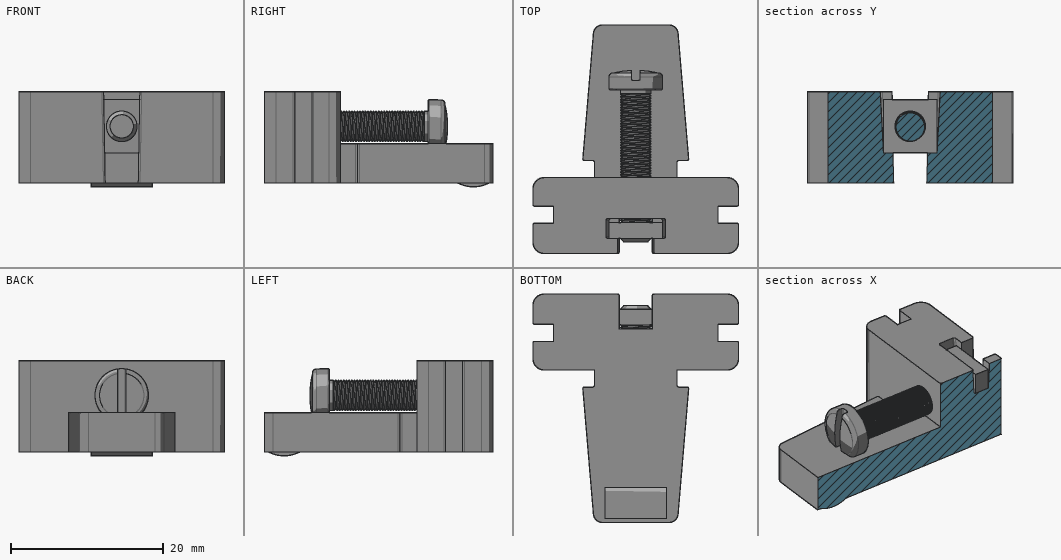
import cadquery as cq
import math

TOTAL_LENGTH = 30.0
EDGE_ROUND = 0.25

BLOCK_WIDTH = 27.0
BLOCK_DEPTH = 10.0
BLOCK_HEIGHT = 12.0
BLOCK_CORNER_RADIUS = 1.5
GROOVE_DEPTH = 2.7
GROOVE_START_Y = 4.0
GROOVE_END_Y = 6.2

TONGUE_HEIGHT = 5.15
NECK_WIDTH = 10.85
SHOULDER_Y = 12.2
SHOULDER_WIDTH = 13.95
TONGUE_END_WIDTH = 10.95
TONGUE_END_RADIUS = 1.2

RIB_LENGTH = 8.0
RIB_DROP = 0.5
RIB_CHORD = 4.1
RIB_CENTER_Y = 27.42

NUT_SIZE = 7.0
NUT_THICKNESS = 2.05
NUT_FRONT_Y = 2.0
POCKET_BACK_Y = 4.6
POCKET_TOP_WIDTH = 7.83
SLOT_TOP_WIDTH = 4.75
SLOT_BOTTOM_WIDTH = 4.32

SCREW_AXIS_Z = 7.45
SCREW_RADIUS = 2.0
SCREW_TIP_Y = 1.5
SCREW_TIP_CHAMFER = 0.48
THREAD_TURNS = 54
THREAD_DEPTH = 0.2
PLAIN_SHANK_LENGTH = 0.48
HEAD_RADIUS = 3.5
HEAD_BASE_Y = 21.48
HEAD_BASE_ROUND = 0.18
HEAD_SIDE_END_Y = 23.2
HEAD_DOME_EDGE_Y = 23.7
HEAD_DOME_EDGE_RADIUS = 2.9
HEAD_TOP_Y = 24.05
DRIVE_SLOT_WIDTH = 1.15
DRIVE_SLOT_DEPTH = 1.32
DRIVE_SLOT_ROUND = 0.15

POCKET_FLOOR_Z = SCREW_AXIS_Z - NUT_SIZE / 2
NUT_BACK_Y = NUT_FRONT_Y + NUT_THICKNESS
THREAD_START_Y = SCREW_TIP_Y + SCREW_TIP_CHAMFER
THREAD_END_Y = HEAD_BASE_Y - PLAIN_SHANK_LENGTH
THREAD_PITCH = (THREAD_END_Y - THREAD_START_Y) / THREAD_TURNS


def box_between(width, y_start, y_end, z_start, z_end, center_x=0):
    """Box centred on center_x that spans the given Y and Z ranges."""
    return (
        cq.Workplane("XY")
        .box(width, y_end - y_start, z_end - z_start, centered=(True, False, False))
        .translate((center_x, y_start, z_start))
    )


def tapered_prism(bottom_width, top_width, y_start, y_end, z_start, z_end):
    """Prism along Y whose width grows linearly from z_start to z_end."""
    return (
        cq.Workplane("XZ", origin=(0, y_start, 0))
        .polyline([
            (-bottom_width / 2, z_start),
            (bottom_width / 2, z_start),
            (top_width / 2, z_end),
            (-top_width / 2, z_end),
        ])
        .close()
        .extrude(y_start - y_end)
    )


def make_block():
    """Rounded block with a vertical groove in each side and a front slot leading to the nut pocket."""
    block = box_between(BLOCK_WIDTH, 0, BLOCK_DEPTH, 0, BLOCK_HEIGHT)
    block = block.edges("|Z").fillet(BLOCK_CORNER_RADIUS)
    for side in (-1, 1):
        groove = box_between(
            2 * GROOVE_DEPTH, GROOVE_START_Y, GROOVE_END_Y, 0, BLOCK_HEIGHT, side * BLOCK_WIDTH / 2
        )
        block = block.cut(groove)
        mouth = cq.selectors.BoxSelector(
            (side * (BLOCK_WIDTH / 2 - 0.3), GROOVE_START_Y - 0.3, -0.3),
            (side * (BLOCK_WIDTH / 2 + 0.3), GROOVE_END_Y + 0.3, BLOCK_HEIGHT + 0.3),
        )
        block = block.edges("|Z").edges(mouth).fillet(EDGE_ROUND)

    slot = tapered_prism(SLOT_BOTTOM_WIDTH, SLOT_TOP_WIDTH, 0, POCKET_BACK_Y, 0, BLOCK_HEIGHT)
    block = block.cut(slot)
    slot_mouth = cq.selectors.BoxSelector(
        (-SLOT_TOP_WIDTH, -0.3, 0.3), (SLOT_TOP_WIDTH, 0.3, BLOCK_HEIGHT - 0.3)
    )
    block = block.edges(slot_mouth).fillet(EDGE_ROUND)

    pocket = tapered_prism(
        NUT_SIZE, POCKET_TOP_WIDTH, NUT_FRONT_Y, POCKET_BACK_Y, POCKET_FLOOR_Z, BLOCK_HEIGHT
    )
    pocket = pocket.edges("not(|X or |Y)").fillet(EDGE_ROUND)
    return block.cut(pocket)


def make_tongue():
    """Plate with a narrow neck, square shoulders and a tapered, rounded end."""
    outline = [(NECK_WIDTH / 2, BLOCK_DEPTH), (NECK_WIDTH / 2, SHOULDER_Y)]
    outline += [(SHOULDER_WIDTH / 2, SHOULDER_Y), (TONGUE_END_WIDTH / 2, TOTAL_LENGTH)]
    mirrored = [(-x, y) for x, y in reversed(outline)]
    tongue = cq.Workplane("XY").polyline(outline + mirrored).close().extrude(TONGUE_HEIGHT)
    tongue = tongue.edges("|Z and >Y").fillet(TONGUE_END_RADIUS)
    shoulders = cq.selectors.BoxSelector(
        (-SHOULDER_WIDTH, SHOULDER_Y - 0.3, -0.3), (SHOULDER_WIDTH, SHOULDER_Y + 0.3, TONGUE_HEIGHT + 0.3)
    )
    return tongue.edges("|Z").edges(shoulders).fillet(EDGE_ROUND)


def make_rib():
    """Shallow cylindrical rib across the underside of the tongue."""
    return (
        cq.Workplane("YZ", origin=(-RIB_LENGTH / 2, 0, 0))
        .moveTo(RIB_CENTER_Y - RIB_CHORD / 2, 0)
        .threePointArc((RIB_CENTER_Y, -RIB_DROP), (RIB_CENTER_Y + RIB_CHORD / 2, 0))
        .close()
        .extrude(RIB_LENGTH)
    )


def make_nut():
    """Square nut resting on the pocket floor, against the pocket's front wall."""
    return box_between(
        NUT_SIZE, NUT_FRONT_Y, NUT_BACK_Y, POCKET_FLOOR_Z, POCKET_FLOOR_Z + NUT_SIZE
    )


def make_thread(y_start, y_end):
    """Threaded rod along Y: a cross-section that grows from root to crest and back, twisted along the axis."""

    def section_point(turn):
        crest_share = 1 - abs(2 * turn - 1)
        radius = SCREW_RADIUS - THREAD_DEPTH * (1 - crest_share)
        angle = 2 * math.pi * turn
        return (radius * math.cos(angle), radius * math.sin(angle))

    half_steps = 12
    half_turn = [0.5 * step / half_steps for step in range(1, half_steps + 1)]
    section = (
        cq.Workplane("XY")
        .moveTo(*section_point(0))
        .spline([section_point(turn) for turn in half_turn], includeCurrent=True)
        .spline([section_point(turn + 0.5) for turn in half_turn], includeCurrent=True)
        .close()
    )
    length = y_end - y_start
    rod = section.twistExtrude(length, 360 * length / THREAD_PITCH)
    return rod.rotate((0, 0, 0), (1, 0, 0), -90).translate((0, y_start, 0))


def make_screw():
    """Exposed stretches of the slotted screw; inside the nut and the block it is one with their material."""
    tip = (
        cq.Workplane("XY")
        .moveTo(0, SCREW_TIP_Y)
        .lineTo(SCREW_RADIUS - SCREW_TIP_CHAMFER, SCREW_TIP_Y)
        .lineTo(SCREW_RADIUS, THREAD_START_Y)
        .lineTo(SCREW_RADIUS, NUT_FRONT_Y)
        .lineTo(0, NUT_FRONT_Y)
        .close()
        .revolve(360, (0, 0, 0), (0, 1, 0))
    )
    plain_shank = (
        cq.Workplane("XZ", origin=(0, THREAD_END_Y, 0)).circle(SCREW_RADIUS).extrude(-PLAIN_SHANK_LENGTH)
    )

    dome_rise = HEAD_TOP_Y - HEAD_DOME_EDGE_Y
    dome_radius = (HEAD_DOME_EDGE_RADIUS**2 + dome_rise**2) / (2 * dome_rise)
    half_radius = HEAD_DOME_EDGE_RADIUS / 2
    dome_mid_y = HEAD_TOP_Y - dome_radius + math.sqrt(dome_radius**2 - half_radius**2)
    head = (
        cq.Workplane("XY")
        .moveTo(0, HEAD_BASE_Y)
        .lineTo(HEAD_RADIUS, HEAD_BASE_Y)
        .lineTo(HEAD_RADIUS, HEAD_SIDE_END_Y)
        .tangentArcPoint((HEAD_DOME_EDGE_RADIUS, HEAD_DOME_EDGE_Y), relative=False)
        .threePointArc((half_radius, dome_mid_y), (0, HEAD_TOP_Y))
        .close()
        .revolve(360, (0, 0, 0), (0, 1, 0))
        .faces("<Y")
        .edges()
        .fillet(HEAD_BASE_ROUND)
    )
    drive_slot = box_between(
        DRIVE_SLOT_WIDTH, HEAD_TOP_Y - DRIVE_SLOT_DEPTH, HEAD_TOP_Y, -HEAD_RADIUS, HEAD_RADIUS
    )
    drive_slot = drive_slot.faces("<Y").edges("|Z").fillet(DRIVE_SLOT_ROUND)
    head = head.cut(drive_slot)
    threaded_shank = make_thread(BLOCK_DEPTH, THREAD_END_Y)
    nut_to_block = make_thread(NUT_BACK_Y, POCKET_BACK_Y)
    rear = head.union(plain_shank).union(threaded_shank)
    return [piece.translate((0, 0, SCREW_AXIS_Z)) for piece in (tip, nut_to_block, rear)]


result = make_block().union(make_tongue()).union(make_rib()).union(make_nut())
for screw_piece in make_screw():
    result = result.union(screw_piece)